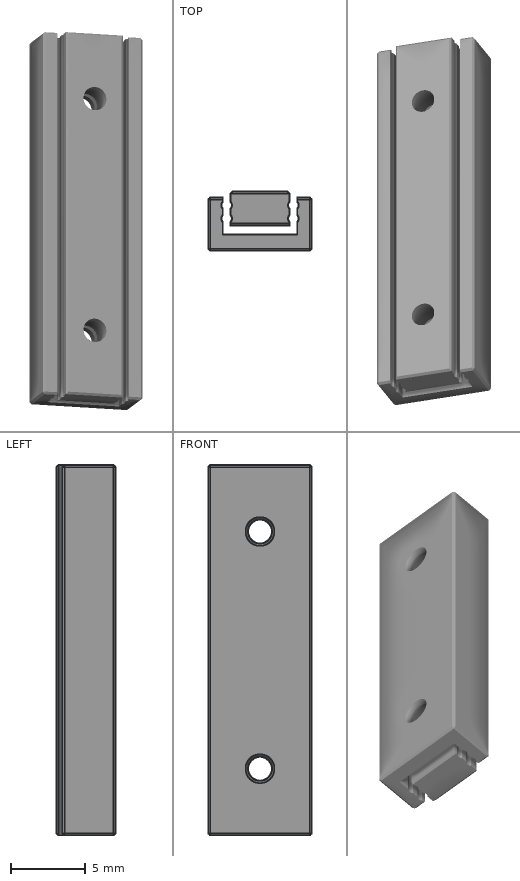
import cadquery as cq

LENGTH = 25.0
TOTAL_DEPTH = 4.0
EDGE_CHAMFER = 0.15

HOUSING_WIDTH = 7.0
HOUSING_DEPTH = 3.6
SLOT_WIDTH = 5.0
FLOOR_THICKNESS = 1.1
HOUSING_BACK_Y = -TOTAL_DEPTH / 2

CARRIAGE_WIDTH = 4.0
CARRIAGE_DEPTH = 2.3
CARRIAGE_BACK_Y = TOTAL_DEPTH / 2 - CARRIAGE_DEPTH

RACE_RADIUS = 0.35
RACE_SPACING = 0.9
RACE_MIDDLE_Y = 0.62
RACE_X = (SLOT_WIDTH + CARRIAGE_WIDTH) / 4

HOLE_DIAMETER = 1.6
COUNTERSINK_DIAMETER = 1.95
COUNTERSINK_DEPTH = 0.35
HOLE_SPACING = 16.0
HOLE_HEIGHTS = [(LENGTH - HOLE_SPACING) / 2, (LENGTH + HOLE_SPACING) / 2]


def block(width, depth, back_y):
    """Full-length block centred on X, standing on Z = 0, with its -Y face at back_y."""
    return (
        cq.Workplane("XY")
        .box(width, depth, LENGTH, centered=(True, False, False))
        .translate((0, back_y, 0))
    )


def raceways():
    """Full-length round rods in the two gaps, for cutting the raceway grooves."""
    centres = [
        (side * RACE_X, RACE_MIDDLE_Y + row * RACE_SPACING / 2)
        for side in (-1, 1)
        for row in (-1, 1)
    ]
    return cq.Workplane("XY").pushPoints(centres).circle(RACE_RADIUS).extrude(LENGTH)


def screw_holes():
    """Cylinders along Y at both screw positions, long enough to pass through both bodies."""
    positions = [(0, height) for height in HOLE_HEIGHTS]
    return (
        cq.Workplane("XZ")
        .pushPoints(positions)
        .circle(HOLE_DIAMETER / 2)
        .extrude(TOTAL_DEPTH / 2, both=True)
    )


def countersinks():
    """Cones narrowing from the housing's -Y face to the screw hole diameter."""
    sinks = cq.Workplane("XY")
    for height in HOLE_HEIGHTS:
        cone = cq.Solid.makeCone(
            COUNTERSINK_DIAMETER / 2,
            HOLE_DIAMETER / 2,
            COUNTERSINK_DEPTH,
            pnt=cq.Vector(0, HOUSING_BACK_Y, height),
            dir=cq.Vector(0, 1, 0),
        )
        sinks = sinks.add(cone)
    return sinks.combine()


def make_housing():
    """Channel with chamfered outer edges, grooved walls and countersunk holes."""
    body = block(HOUSING_WIDTH, HOUSING_DEPTH, HOUSING_BACK_Y).edges().chamfer(EDGE_CHAMFER)
    slot = block(SLOT_WIDTH, HOUSING_DEPTH, HOUSING_BACK_Y + FLOOR_THICKNESS)
    body = body.cut(slot).cut(raceways()).cut(screw_holes())
    return body.cut(countersinks())


def make_carriage():
    """Grooved bar with chamfered end edges and +Y corners, drilled in line with the housing."""
    body = block(CARRIAGE_WIDTH, CARRIAGE_DEPTH, CARRIAGE_BACK_Y)
    body = body.faces("<Z or >Z").edges("|X").chamfer(EDGE_CHAMFER)
    body = body.faces(">Y").edges("|Z").chamfer(EDGE_CHAMFER)
    return body.cut(raceways()).cut(screw_holes())


housing = make_housing()
carriage = make_carriage()
result = cq.Compound.makeCompound([housing.val(), carriage.val()])